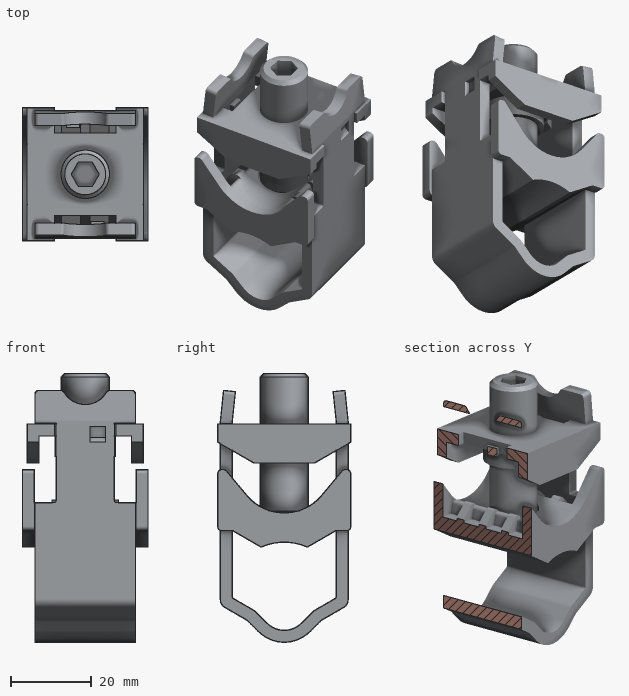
import cadquery as cq
import math

sheet = 3.0
corner_radius = 1.0
screw_radius = 6.0
total_height = 66.7

strap_width = 25.0
strap_half_depth = 15.9
strap_inner = strap_half_depth - sheet
bowl_outer_radius = 9.0
steep_wall = 45.0
flat_wall = 30.0
knee_y = 9.15
bend_outer_radius = 2.3
bend_inner_radius = 0.55
neck_width = 14.5
neck_bottom = 34.6
neck_top = 54.3
neck_fillet = 0.55
tab_bend_z = 54.7
tab_lean = 6.0
strap_top = 62.5
tab_corner_radius = 1.0
tab_notch_radius = 6.0
tab_notch_z = 64.95
tab_notch_fillet = 1.0
bump_x = 3.1
bump_width = 3.2
bump_height = 2.95
bump_top = 53.2
bump_depth = 1.2
pocket_width = 3.9
pocket_top = 53.55
pocket_height = 3.95

cap_width = 28.9
half_depth = 16.51
cap_top = 54.15
cap_end_z = 49.6
cap_bottom = 44.4
cap_bottom_half = 7.5
slot_width = 15.35
slot_inner_y = 10.3
boss_radius = 7.55
boss_bottom = 46.0

saddle_width = 31.2
saddle_inner_width = saddle_width - 2 * sheet
trough_z = 32.1
trough_radius = 12.0
trough_angle = 50.0
saddle_top = 42.8
saddle_end_z = 27.7
saddle_end_y = 12.8
saddle_foot_y = 5.75
saddle_foot_slope = 30.0
saddle_arch_z = 24.8
web_half_depth = 12.6
tongue_crest_y = 8.6
notch_crest_y = 8.35
crest_radius = 1.0
tongue_end_z = 31.7
notch_floor_z = 31.3
notch_wall_y = 9.15
middle_tongue_half = 1.17
side_tongue = (5.9, 8.3)

screw_chamfer = 0.95
hex_flats = 6.0
hex_depth = 5.0
screw_bottom = 31.6
seat_radius = 6.35
hex_corners = hex_flats / math.cos(math.radians(30))


def plate_along_x(outline, x_from, x_to):
    """Solid with a Y-Z outline between two X positions."""
    face = cq.Face.makeFromWires(outline.val())
    solid = cq.Solid.extrudeLinear(face, cq.Vector(x_to - x_from, 0, 0))
    return cq.Workplane(solid.translate(cq.Vector(x_from, 0, 0)))


def box_at(x_range, y_range, z_range):
    """Box between the given pairs of coordinates."""
    (x0, x1), (y0, y1), (z0, z1) = x_range, y_range, z_range
    return cq.Workplane("XY").box(x1 - x0, y1 - y0, z1 - z0, centered=False).translate((x0, y0, z0))


def round_edges(body, x_range, y_range, z_range, radius):
    """Fillet the edges whose centres lie between the given pairs of coordinates."""
    low, high = zip(x_range, y_range, z_range)
    return body.edges(cq.selectors.BoxSelector(low, high)).fillet(radius)


def polar(centre, radius, angle):
    """Point on a circle, at an angle in degrees from straight down toward +Y."""
    turn = math.radians(angle)
    return (centre[0] + radius * math.sin(turn), centre[1] - radius * math.cos(turn))


def mirrored_in_y(outline):
    """Points of the +Y half of an outline, followed by their mirror images in reverse order."""
    return outline + [(-y, z) for y, z in reversed(outline)]


def strap_half_outline():
    """Bent sheet from the middle of the bowl to the tip of the +Y tab, with sharp lower bends."""
    bowl = (0, bowl_outer_radius)
    bowl_inner_radius = bowl_outer_radius - sheet
    bowl_end_y, bowl_end_z = polar(bowl, bowl_outer_radius, steep_wall)
    knee = (knee_y, bowl_end_z + (knee_y - bowl_end_y) * math.tan(math.radians(steep_wall)))
    inner_knee_y, inner_knee_z = polar(knee, -sheet, flat_wall)
    flat_slope = math.tan(math.radians(flat_wall))
    outer_bend_z = knee[1] + (strap_half_depth - knee_y) * flat_slope
    inner_bend_z = inner_knee_z + (strap_inner - inner_knee_y) * flat_slope

    pivot = (strap_inner, tab_bend_z)
    tab_root_y, tab_root_z = polar(pivot, sheet, 90 + tab_lean)
    lean = math.radians(tab_lean)
    outer_tip_y = tab_root_y - (strap_top - tab_root_z) * math.tan(lean)
    inner_tip = (outer_tip_y - sheet * math.cos(lean), strap_top - sheet * math.sin(lean))
    return (
        cq.Workplane("YZ")
        .moveTo(0, 0)
        .threePointArc(polar(bowl, bowl_outer_radius, steep_wall / 2), (bowl_end_y, bowl_end_z))
        .lineTo(*knee)
        .lineTo(strap_half_depth, outer_bend_z)
        .lineTo(strap_half_depth, tab_bend_z)
        .threePointArc(polar(pivot, sheet, 90 + tab_lean / 2), (tab_root_y, tab_root_z))
        .lineTo(outer_tip_y, strap_top)
        .lineTo(*inner_tip)
        .lineTo(*pivot)
        .lineTo(strap_inner, inner_bend_z)
        .lineTo(inner_knee_y, inner_knee_z)
        .threePointArc(polar(knee, -sheet, (flat_wall + steep_wall) / 2), polar(knee, -sheet, steep_wall))
        .lineTo(*polar(bowl, bowl_inner_radius, steep_wall))
        .threePointArc(polar(bowl, bowl_inner_radius, steep_wall / 2), (0, sheet))
        .close()
    )


def strap_half():
    """Half of the bent strip, with the bend below its leg rounded."""
    half = plate_along_x(strap_half_outline(), -strap_width / 2, strap_width / 2)
    bend_zone = (bowl_outer_radius - 0.7, bowl_outer_radius + sheet)
    for y, radius in ((strap_half_depth, bend_outer_radius), (strap_inner, bend_inner_radius)):
        half = round_edges(half, (-0.7, 0.7), (y - 0.7, y + 0.7), bend_zone, radius)
    return half


def cut_neck(strap):
    """Narrow the two legs between the shoulders and the tabs."""
    for side in (-1, 1):
        x_range = sorted((side * neck_width / 2, side * strap_width))
        relief = box_at(x_range, (-half_depth, half_depth), (neck_bottom, neck_top))
        root = relief.edges("|Y").edges("<Z").edges("<X" if side > 0 else ">X")
        strap = strap.cut(root.fillet(neck_fillet))
    return strap


def shape_tabs(strap):
    """Cut the round notch for the screw into both tabs and round their upper corners."""
    notch = cq.Workplane("XZ").center(0, tab_notch_z).circle(tab_notch_radius).extrude(half_depth, both=True)
    strap = strap.cut(notch)
    y_range = (-half_depth, half_depth)
    tip_zone = (strap_top - tab_corner_radius, strap_top)
    for side in (-1, 1):
        corner = sorted((side * (strap_width / 2 - tab_corner_radius), side * strap_width))
        strap = round_edges(strap, corner, y_range, tip_zone, tab_corner_radius)
        lip = sorted((side * (tab_notch_radius - tab_notch_fillet), side * tab_notch_radius))
        strap = round_edges(strap, lip, y_range, tip_zone, tab_notch_fillet)
    return strap


def wedge(width, height, top, outer_y):
    """Block with a 45 degree floor, reaching from an X-Z face toward +Y."""
    back_y = outer_y + bump_depth
    outline = [(outer_y, top), (back_y, top), (back_y, top - height + bump_depth), (outer_y, top - height)]
    profile = cq.Workplane("YZ").polyline(outline).close()
    return plate_along_x(profile, bump_x - width / 2, bump_x + width / 2)


def press_stops(strap):
    """Press a stop bump inward from each leg, leaving a pocket on its outer face."""
    pocket = wedge(pocket_width, pocket_height, pocket_top, -strap_half_depth)
    bump = wedge(bump_width, bump_height, bump_top, -strap_inner)
    for turn in (0, 180):
        strap = strap.cut(pocket.rotate((0, 0, 0), (0, 0, 1), turn))
        strap = strap.union(bump.rotate((0, 0, 0), (0, 0, 1), turn))
    return strap


def make_strap():
    half = strap_half()
    strap = half.union(half.mirror("XZ"))
    return press_stops(shape_tabs(cut_neck(strap)))


def make_cap():
    """Channel with sloped flanges, a round boss for the screw and a slot for each strap neck."""
    right_side = [(half_depth, cap_top), (half_depth, cap_end_z), (cap_bottom_half, cap_bottom)]
    outline = mirrored_in_y(right_side)
    cap = plate_along_x(cq.Workplane("YZ").polyline(outline).close(), -cap_width / 2, cap_width / 2)
    inner = cap_width / 2 - sheet
    cap = cap.cut(box_at((-inner, inner), (-half_depth, half_depth), (cap_bottom, cap_top - sheet)))
    boss = cq.Workplane("XY").workplane(offset=boss_bottom).circle(boss_radius)
    cap = cap.union(boss.extrude(cap_top - sheet - boss_bottom))
    cap = cap.cut(cq.Workplane("XY").circle(screw_radius).extrude(total_height))
    for side in (-1, 1):
        y_range = sorted((side * slot_inner_y, side * half_depth))
        cap = cap.cut(box_at((-slot_width / 2, slot_width / 2), y_range, (cap_bottom, cap_top)))
    return cap


def saddle_block():
    """Full-width block with the trough on top and the arch below."""
    trough_centre = (0, trough_z + trough_radius)
    trough_end = polar(trough_centre, trough_radius, trough_angle)
    tip_y = trough_end[0] + (saddle_top - trough_end[1]) / math.tan(math.radians(trough_angle))
    foot_drop = (saddle_end_y - saddle_foot_y) * math.tan(math.radians(saddle_foot_slope))
    foot = (saddle_foot_y, saddle_end_z - foot_drop)
    right_side = [(tip_y, saddle_top), (half_depth, saddle_top), (half_depth, saddle_end_z),
                  (saddle_end_y, saddle_end_z), foot]
    outline = cq.Workplane("YZ").moveTo(-trough_end[0], trough_end[1])
    outline = outline.threePointArc((0, trough_z), trough_end)
    for point in right_side:
        outline = outline.lineTo(*point)
    outline = outline.threePointArc((0, saddle_arch_z), (-foot[0], foot[1]))
    for y, z in reversed(right_side[:-1]):
        outline = outline.lineTo(-y, z)
    block = plate_along_x(outline.close(), -saddle_width / 2, saddle_width / 2)
    block = block.edges("|X").edges("<Y or >Y or >Z").fillet(corner_radius)
    return block


def web_slice(block, x_range, crest_y, outer_slope):
    """Part of the block between two X positions, shortened to fit between the strap legs.

    The trough ends at a rounded crest. The outer slope lists the Y-Z points from there to the web end.
    """
    crest_z = trough_z + trough_radius - math.sqrt(trough_radius**2 - crest_y**2)
    outline = [(half_depth, 0), (half_depth, saddle_top), (crest_y, saddle_top), (crest_y, crest_z)]
    outline = outline + outer_slope + [(web_half_depth, 0)]
    trim = plate_along_x(cq.Workplane("YZ").polyline(outline).close(), *x_range)
    piece = block.intersect(box_at(x_range, (-half_depth, half_depth), (0, saddle_top)))
    piece = piece.cut(trim).cut(trim.mirror("XZ"))
    for side in (-1, 1):
        rim = cq.selectors.NearestToPointSelector((sum(x_range) / 2, side * crest_y, crest_z))
        piece = piece.edges(rim).fillet(crest_radius)
    return piece


def tongue(block, x_range):
    return web_slice(block, x_range, tongue_crest_y, [(web_half_depth, tongue_end_z)])


def notched_web(block, x_range):
    """Web between tongues, with a steep wall and a flat floor at each end."""
    outer_slope = [(notch_wall_y, notch_floor_z), (web_half_depth, notch_floor_z)]
    return web_slice(block, x_range, notch_crest_y, outer_slope)


def make_saddle():
    """End plates joined by a web that is split into tongues and notches along X."""
    block = saddle_block()
    web_half_width = saddle_inner_width / 2
    web_x = (-web_half_width, web_half_width)
    saddle = block.cut(box_at(web_x, (-half_depth, half_depth), (0, saddle_top)))

    saddle = saddle.union(tongue(block, (-middle_tongue_half, middle_tongue_half)))
    side_from, side_to = side_tongue
    for side in (-1, 1):
        saddle = saddle.union(notched_web(block, sorted((side * middle_tongue_half, side * side_from))))
        saddle = saddle.union(tongue(block, sorted((side * side_from, side * side_to))))
        saddle = saddle.union(notched_web(block, sorted((side * side_to, side * web_half_width))))

    seat = cq.Workplane("XY").workplane(offset=screw_bottom).circle(seat_radius)
    return saddle.cut(seat.extrude(saddle_top - screw_bottom)).clean()


def make_screw():
    screw = cq.Workplane("XY").workplane(offset=screw_bottom).circle(screw_radius)
    screw = screw.extrude(total_height - screw_bottom)
    screw = screw.faces("<Z or >Z").chamfer(screw_chamfer)
    return screw.faces(">Z").workplane().polygon(6, hex_corners).cutBlind(-hex_depth)


strap = make_strap()
cap = make_cap()
saddle = make_saddle()
screw = make_screw()
result = cq.Compound.makeCompound([strap.val(), cap.val(), saddle.val(), screw.val()])